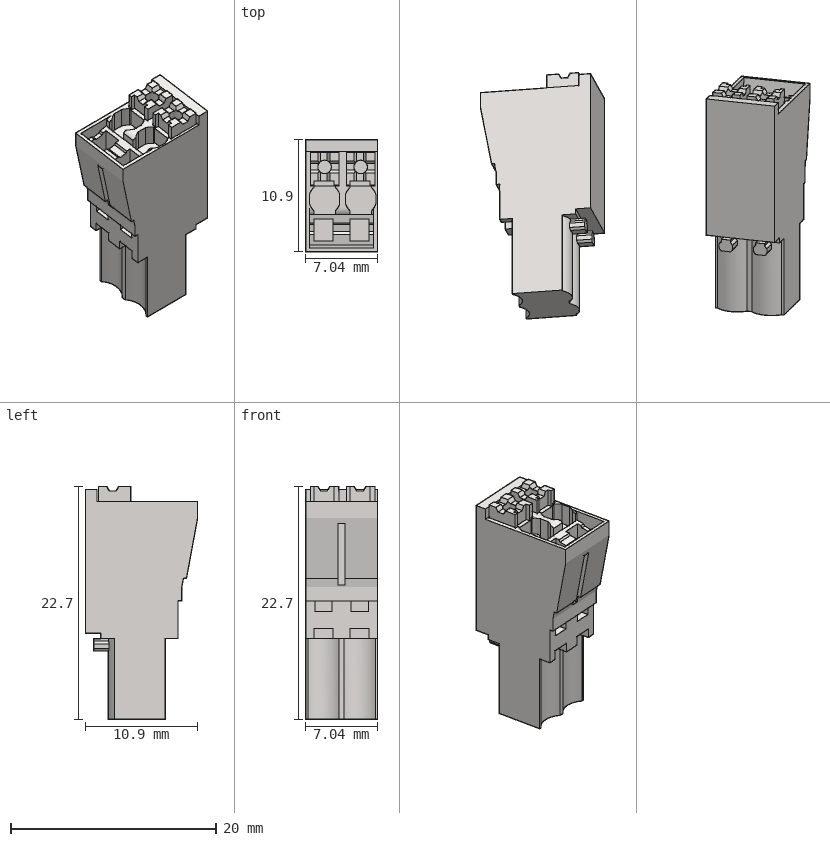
import cadquery as cq
import math


width = 7.04
depth = 10.95
height = 22.7

way_pitch = 3.52
way_centres = [-way_pitch / 2, way_pitch / 2]
button_offset = 0.102
button_centres = [x + button_offset for x in way_centres]

shelf_z = 21.25
back_wall_top = 22.4
back_wall_front = 9.8
lip_bottom = 19.61
slope_bottom = 13.73
slope_run = 1.1
slope = slope_run / (lip_bottom - slope_bottom)
ledge_y = 1.38
band_top = 12.85
band_y = ledge_y + slope * (slope_bottom - band_top)
band_bottom = 11.53
waist_y = 1.9
body_bottom = 7.85
back_step_y = 9.47
back_step_z = 8.38

plug_front = 3.15
plug_back = 8.13
scallop_radius = 2.18
scallop_width = 3.05

lug_back = 10.15
lug_bottom = 6.65
lug_head_width = 1.36
lug_neck_width = 0.9
lug_foot_width = 1.0
lug_head_low = 6.9
lug_head_high = 7.35
lug_neck_low = 7.65

front_pocket_width = 1.68
front_pocket_floor = 10.49
front_pocket_back = plug_front
notch_width = 1.85
notch_top = 8.83
notch_back = 2.9
slot_width = 0.68
slot_bottom = 13.08
slot_top = 19.1
slot_back = 1.82

recess_width = 6.27
recess_front = 0.36
recess_back = 3.65
recess_back_floor = 20.27
round_over_radius = 0.9
round_over_start = 4.25
riser_top_y = 2.84
riser_bottom_y = 2.7
riser_height = 0.2
ridge_back_y = 1.97
ridge_top_y = 1.68
ridge_height = 0.2
recess_floor_front = 0.65

entry_width = 1.86
entry_front = 1.1
entry_back = 3.22
entry_floor = 15.57

tool_radius = 1.55
tool_centre_y = 5.15
tool_width = 2.95
tool_flat_width = 2.09
tool_front = 3.63
tool_back = 6.45
tool_floor = 19.1

button_width = 2.8
button_front = 6.51
button_back = 9.7
button_seat_z = 20.97
button_notch_offset = -0.07
button_notch_width = 1.93
button_notch_depth = 0.39
cross_y = 8.29
cross_depth = 0.43
cross_top_width = 1.15
cross_bottom_width = 0.64
button_hole_radius = 0.65


def box(x_range, y_range, z_range):
    """Axis-aligned block between pairs of limits."""
    (x0, x1), (y0, y1), (z0, z1) = x_range, y_range, z_range
    return cq.Workplane("XY").box(x1 - x0, y1 - y0, z1 - z0, centered=False).translate((x0, y0, z0))


def span(centre, size):
    """Limits of a length centred on a place."""
    return centre - size / 2, centre + size / 2


def across(outline, length):
    """Solid with a Y-Z outline, centred across X."""
    return outline.close().extrude(length / 2, both=True)


def housing_blank():
    outline = cq.Workplane("YZ").polyline([
        (plug_front, 0),
        (plug_back, 0),
        (plug_back, body_bottom),
        (back_step_y, body_bottom),
        (back_step_y, back_step_z),
        (depth, back_step_z),
        (depth, back_wall_top),
        (back_wall_front, back_wall_top),
        (back_wall_front, shelf_z),
        (0, shelf_z),
        (0, lip_bottom),
        (slope_run, slope_bottom),
        (ledge_y, slope_bottom),
        (band_y, band_top),
        (band_y, band_bottom),
        (waist_y, band_bottom),
        (waist_y, body_bottom),
        (plug_front, body_bottom),
    ])
    return across(outline, width)


def plug_scallop(x, y):
    """Circular segment bulging to +Y from a chord at y, as tall as the plug."""
    half = scallop_width / 2
    rise = scallop_radius - math.sqrt(scallop_radius**2 - half**2)
    segment = cq.Workplane("XY").moveTo(x - half, y).threePointArc((x, y + rise), (x + half, y))
    return segment.close().extrude(body_bottom)


def lug(x):
    """T-shaped lug reaching back from the plug under the body."""
    head = lug_head_width / 2
    neck = lug_neck_width / 2
    foot = lug_foot_width / 2
    right_side = [
        (neck, body_bottom),
        (neck, lug_neck_low),
        (head, lug_head_high),
        (head, lug_head_low),
        (foot, lug_bottom),
    ]
    left_side = [(-px, pz) for px, pz in reversed(right_side)]
    profile = cq.Workplane("XZ", origin=(x, lug_back, 0)).polyline(right_side + left_side)
    return profile.close().extrude(lug_back - plug_back)


def entry_recess():
    """Stepped recess in front of the tool openings, rounded over at its back edge."""
    arc_centre_z = shelf_z - round_over_radius

    def round_over_point(y):
        drop = round_over_start - y
        return y, arc_centre_z + math.sqrt(round_over_radius**2 - drop**2)

    riser_top_z = recess_back_floor - slope * (recess_back - riser_top_y)
    riser_bottom_z = riser_top_z - riser_height
    ridge_back_z = riser_bottom_z - slope * (riser_bottom_y - ridge_back_y)
    ridge_top_z = ridge_back_z + ridge_height
    front_floor_z = ridge_top_z - slope * (ridge_top_y - recess_floor_front)
    outline = (
        cq.Workplane("YZ")
        .moveTo(round_over_start, shelf_z)
        .threePointArc(round_over_point((round_over_start + recess_back) / 2), round_over_point(recess_back))
        .lineTo(recess_back, recess_back_floor)
        .lineTo(riser_top_y, riser_top_z)
        .lineTo(riser_bottom_y, riser_bottom_z)
        .lineTo(ridge_back_y, ridge_back_z)
        .lineTo(ridge_top_y, ridge_top_z)
        .lineTo(recess_floor_front, front_floor_z)
        .lineTo(recess_front, shelf_z)
    )
    return across(outline, recess_width)


def tool_opening(x):
    """Round opening cut off by flats on all four sides, with a narrower slot squaring its ends."""
    y_range = (tool_front, tool_back)
    z_range = (tool_floor, shelf_z)
    barrel = (
        cq.Workplane("XY", origin=(x, tool_centre_y, tool_floor))
        .circle(tool_radius)
        .extrude(shelf_z - tool_floor)
    )
    barrel = barrel.intersect(box(span(x, tool_width), y_range, z_range))
    return barrel.union(box(span(x, tool_flat_width), y_range, z_range))


def make_housing():
    body = housing_blank()
    for x in way_centres:
        body = body.cut(plug_scallop(x, plug_front))
        body = body.union(plug_scallop(x, plug_back))
        body = body.union(lug(x))
        body = body.cut(box(span(x, notch_width), (waist_y, notch_back), (body_bottom, notch_top)))
        front_pocket_z = (front_pocket_floor, band_bottom)
        body = body.cut(box(span(x, front_pocket_width), (waist_y, front_pocket_back), front_pocket_z))
    body = body.cut(box(span(0, slot_width), (0, slot_back), (slot_bottom, slot_top)))
    body = body.cut(entry_recess())
    for x in way_centres:
        body = body.cut(box(span(x, entry_width), (entry_front, entry_back), (entry_floor, shelf_z)))
    for x in button_centres:
        body = body.cut(tool_opening(x))
        body = body.cut(box(span(x, button_width), (tool_back, button_back), (button_seat_z, shelf_z)))
    return body


def cross_groove(plane, origin, length):
    """Flat-bottomed V groove in a button top, running both ways along the plane's normal."""
    top = cross_top_width / 2
    bottom = cross_bottom_width / 2
    profile = cq.Workplane(plane, origin=origin).polyline([
        (-top, 0),
        (-bottom, -cross_depth),
        (bottom, -cross_depth),
        (top, 0),
    ])
    return profile.close().extrude(length, both=True)


def make_button(x):
    """Button standing in its seat, with a crossed top, a centre hole and a front notch."""
    notch_x = x + button_notch_offset
    button_z = (button_seat_z, height)
    body = box(span(x, button_width), (button_front, button_back), button_z)
    notch_y = (button_front, button_front + button_notch_depth)
    body = body.cut(box(span(notch_x, button_notch_width), notch_y, button_z))
    body = body.cut(cross_groove("XZ", (notch_x, cross_y, height), button_back - button_front))
    body = body.cut(cross_groove("YZ", (x, cross_y, height), button_width))
    hole = cq.Workplane("XY", origin=(x, cross_y, button_seat_z)).circle(button_hole_radius)
    return body.cut(hole.extrude(height - button_seat_z))


housing = make_housing()
buttons = [make_button(x) for x in button_centres]

result = cq.Compound.makeCompound([housing.val(), *[button.val() for button in buttons]])